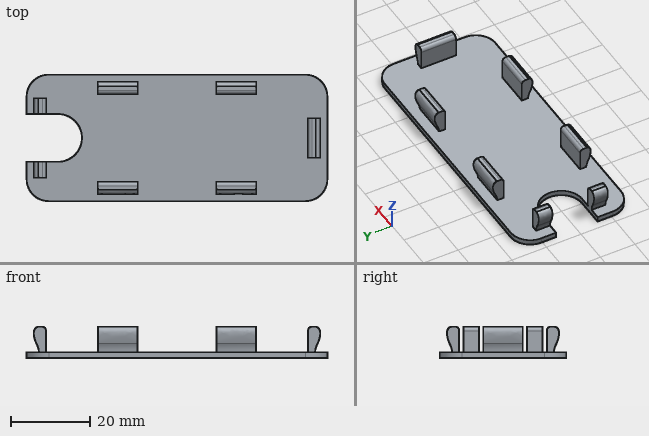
import cadquery as cq

length = 76.0
width = 32.0
plate_thickness = 1.5
corner_radius = 5.6

slot_width = 12.0
slot_depth = 14.0

total_height = 8.0
clip_inset = 1.9
clip_reach = 3.05
clip_root_reach = 1.8
clip_neck_reach = 2.5
clip_neck_height = 2.3
clip_bulge_height = 3.95
clip_shoulder_reach = 2.8
clip_shoulder_height = 5.9
clip_top_reach = 2.0
clip_inner_round = 1.0
neck_bow = 0.15
clip_length = 10.0
slot_clip_length = 4.0
side_clip_spacing = 29.95

clip_height = total_height - plate_thickness


def make_plate():
    """Rounded rectangular plate with the open slot removed."""
    plate = cq.Workplane("XY").box(length, width, plate_thickness, centered=(True, True, False))
    plate = plate.edges("|Z").fillet(corner_radius)
    slot_radius = slot_width / 2
    slot_centre_x = -length / 2 + slot_depth - slot_radius
    slot = (
        cq.Workplane("XY")
        .moveTo(-length / 2, -slot_radius)
        .lineTo(slot_centre_x, -slot_radius)
        .threePointArc((slot_centre_x + slot_radius, 0), (slot_centre_x, slot_radius))
        .lineTo(-length / 2, slot_radius)
        .close()
        .extrude(plate_thickness)
    )
    return plate.cut(slot)


def make_clip(span):
    """Clip standing on the plate, centred on Y, its bulge pointing to +X with the inner face at X = 0."""
    neck_mid_reach = (clip_root_reach + clip_neck_reach) / 2 - neck_bow
    bulge = [
        (clip_reach, clip_bulge_height),
        (clip_shoulder_reach, clip_shoulder_height),
        (clip_top_reach, clip_height),
    ]
    clip = (
        cq.Workplane("XZ")
        .lineTo(clip_root_reach, 0)
        .threePointArc((neck_mid_reach, clip_neck_height / 2), (clip_neck_reach, clip_neck_height))
        .spline(bulge, includeCurrent=True)
        .lineTo(0, clip_height)
        .close()
        .extrude(span)
    )
    clip = clip.edges("<X and >Z").fillet(clip_inner_round)
    return clip.translate((0, span / 2, plate_thickness))


def place_clip(span, turn, edge_distance, along_edge):
    """Turn a clip to face an edge edge_distance from the centre, offset along that edge."""
    inner_face = edge_distance - clip_inset - clip_reach
    clip = make_clip(span).translate((inner_face, along_edge, 0))
    return clip.rotate((0, 0, 0), (0, 0, 1), turn)


result = make_plate()

result = result.union(place_clip(clip_length, 0, length / 2, 0))

for side in (-1, 1):
    slot_clip_offset = side * (slot_width + slot_clip_length) / 2
    result = result.union(place_clip(slot_clip_length, 180, length / 2, slot_clip_offset))

    for turn in (90, -90):
        side_clip_offset = side * side_clip_spacing / 2
        result = result.union(place_clip(clip_length, turn, width / 2, side_clip_offset))